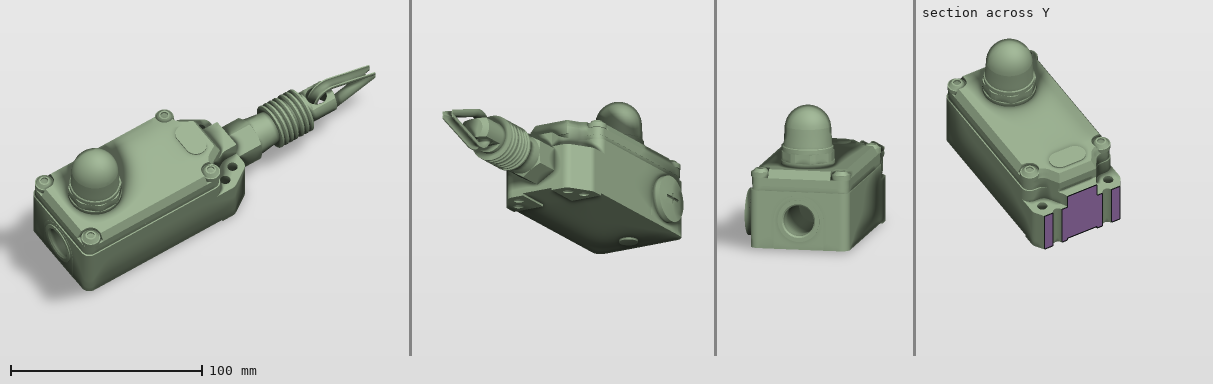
import cadquery as cq
import math


BASE_HALF_WIDTH = 26.5
BASE_LENGTH = 106.7
FOOT_HEIGHT = 1.2
EAR_TOP = 24.1
BASE_TOP = 31.9
FRONT_CORNER_RADIUS = 4.5
EAR_EDGE_HALF_WIDTH = 18.0
EAR_SHOULDER_Y = 93.7
EAR_CORNER_RADIUS = 5.0
EAR_HOLE_DIAMETER = 5.4
EAR_HOLES = [(15.0, 100.0), (20.0, 92.1)]

NECK_HALF_WIDTH = 9.0
NECK_CORNER_Y = 98.3
NECK_SLOPE = math.radians(59)
NECK_BLEND_RADIUS = 6.0
SHOULDER_BLEND_RADIUS = 5.0

LID_INSET = 0.5
LID_REAR_Y = 94.7
GASKET_TOP = 34.3
GASKET_INSET = 0.7
GASKET_SETBACK = 0.5
LID_EDGE = 38.5
LID_TOP = 42.9
LID_CHAMFER_WIDTH = 2.5
PLATE_LENGTH = 20.5
PLATE_WIDTH = 11.4
PLATE_Y = 84.0
PLATE_HEIGHT = 0.8

BOSS_X = 21.5
BOSS_RADIUS = BASE_HALF_WIDTH - BOSS_X
BOSS_YS = (5.8, 81.7)
BOSS_TOP = 41.0
SCREW_RADIUS = 4.4
SCREW_CROWN_RADIUS = 2.8
SCREW_SOCKET_RADIUS = 2.0
SCREW_SOCKET_DEPTH = 1.0

CENTRE_FOOT_RADIUS = 5.0
CENTRE_FOOT_Y = 12.8
REAR_FOOT_INNER_X = 8.8
REAR_FOOT_FRONT_Y = 86.0

ENTRY_Z = 16.5
PAD_HEIGHT = 0.1
FRONT_PAD_RADIUS = 13.4
LEFT_PAD_RADIUS = 13.0
LEFT_PAD_FOOT_HALF_WIDTH = 13.5
COLLAR_RADIUS = 11.2
COLLAR_HEIGHT = 0.5
ENTRY_MOUTH_RADIUS = 9.0
ENTRY_BORE_RADIUS = 8.2
ENTRY_BORE_DEPTH = 39.9

PLUG_Y = 20.5
PLUG_RADIUS = 12.4
PLUG_NECK_RADIUS = 12.2
PLUG_RIM_BACK_X = 28.1
PLUG_RIM_X = 30.7
PLUG_CROWN_X = 31.9
PLUG_SLOT_LENGTH = 12.8
PLUG_SLOT_WIDTH = 1.5
PLUG_CROSS_LENGTH = 5.8
PLUG_SLOT_FLOOR_X = 30.7

LAMP_Y = 23.1
LAMP_FLANGE_RADIUS = 14.2
LAMP_FLANGE_TOP = 45.0
LAMP_NUT_RADIUS = 13.4
LAMP_NUT_TOP = 52.6
LAMP_NUT_CHAMFER = 0.4
LAMP_FLAT_COUNT = 8
LAMP_FLAT_DISTANCE = 13.4
LAMP_FLAT_CORNER_RADIUS = 14.0
LAMP_FLAT_TOP = 49.8
DOME_BASE_RADIUS = 12.8
DOME_RADIUS = 12.2
DOME_SPRING_Z = 63.0
LAMP_TOP = 74.0

AXIS_Z = ENTRY_Z
HEX_ACROSS_FLATS = 21.0
HEX_END_Y = 122.0
HEX_CHAMFER_LENGTH = 0.8
CONE_BASE_RADIUS = 10.4
CONE_END_RADIUS = 9.0
CONE_END_Y = 133.0
ROD_RADIUS = 8.5
ROD_END_Y = 170.7
ROD_CROWN_RADIUS = 5.4
ROD_CROWN_Y = 172.2

RING_RADIUS = 12.2
RING_ROOT_RADIUS = 10.2
RING_CREST_WIDTH = 1.0
RING_ROOT_WIDTH = 2.5
RING_PITCH = 3.0
BELLOWS_START_Y = 134.0
BELLOWS_END_Y = 153.7
FRONT_RING_COUNT = 4
REAR_RING_COUNT = 3

EYE_HALF_THICKNESS = 5.2
EYE_FLAT_START_Y = 156.5
EYE_HOLE_Y = 163.3
EYE_HOLE_RADIUS = 5.5

THIMBLE_RADIUS = 10.4
THIMBLE_CENTRE_Y = 169.9
THIMBLE_TIP_Y = 198.8
THIMBLE_LEG_ANGLE = 17
THIMBLE_HALF_WIDTH = 3.2
THIMBLE_DEPTH = 3.8
THIMBLE_WALL = 0.7


def mirrored(points):
    """Close a half outline, given along the right side, with its mirror image in X."""
    return points + [(-x, y) for x, y in reversed(points)]


def prism(points, bottom, top):
    return cq.Workplane("XY").workplane(offset=bottom).polyline(points).close().extrude(top - bottom)


def round_corners(body, corner, radius):
    """Round the upright edge nearest to a corner of the outline, on both sides."""
    z = body.val().BoundingBox().center.z
    for side in (-1, 1):
        body = body.edges("|Z").edges(cq.NearestToPointSelector((side * corner[0], corner[1], z)))
        body = body.fillet(radius)
    return body


def cylinder(x, y, radius, bottom, top):
    return cq.Workplane("XY", origin=(x, y, bottom)).circle(radius).extrude(top - bottom)


def turned(profile):
    """Turn (radius, Y) points about the rod axis."""
    outline = cq.Workplane("XY", origin=(0, 0, AXIS_Z)).polyline(profile).close()
    return outline.revolve(360, (0, 0, 0), (0, 1, 0))


def ear_block(bottom, top):
    """Full base outline, with cut-off rear corners."""
    ear_corner = (EAR_EDGE_HALF_WIDTH, BASE_LENGTH)
    shoulder = (BASE_HALF_WIDTH, EAR_SHOULDER_Y)
    front_corner = (BASE_HALF_WIDTH, 0)
    block = prism(mirrored([front_corner, shoulder, ear_corner]), bottom, top)
    block = round_corners(block, front_corner, FRONT_CORNER_RADIUS)
    block = round_corners(block, shoulder, EAR_CORNER_RADIUS)
    return round_corners(block, ear_corner, EAR_CORNER_RADIUS)


def neck_block(inset, rear_y, bottom, top):
    """Outline that rounds the rear screw bosses and narrows into the neck."""
    half_width = BASE_HALF_WIDTH - inset
    corner_radius = BOSS_RADIUS - inset
    shoulder_y = BOSS_YS[1] + corner_radius

    def slope_x(y):
        return NECK_HALF_WIDTH + (NECK_CORNER_Y - y) / math.tan(NECK_SLOPE)

    front_corner = (half_width, inset)
    boss_corner = (half_width, shoulder_y)
    slope_foot = (slope_x(shoulder_y), shoulder_y)
    points = [front_corner, boss_corner, slope_foot]
    reaches_neck = rear_y > NECK_CORNER_Y
    neck_corner = (NECK_HALF_WIDTH, NECK_CORNER_Y)
    if reaches_neck:
        points += [neck_corner, (NECK_HALF_WIDTH, rear_y)]
    else:
        points += [(slope_x(rear_y), rear_y)]
    block = prism(mirrored(points), bottom, top)
    block = round_corners(block, front_corner, FRONT_CORNER_RADIUS)
    block = round_corners(block, boss_corner, corner_radius)
    block = round_corners(block, slope_foot, SHOULDER_BLEND_RADIUS)
    if reaches_neck:
        block = round_corners(block, neck_corner, NECK_BLEND_RADIUS)
    return block


def base():
    body = ear_block(FOOT_HEIGHT, EAR_TOP)
    return body.union(neck_block(0, BASE_LENGTH, EAR_TOP, BASE_TOP))


def feet():
    """Round foot at the front and two rear feet that follow the base outline."""
    foot_length = BASE_LENGTH - REAR_FOOT_FRONT_Y
    foot_width = BASE_HALF_WIDTH - REAR_FOOT_INNER_X
    centre_x = REAR_FOOT_INNER_X + foot_width / 2
    rear_feet = (
        cq.Workplane("XY", origin=(0, REAR_FOOT_FRONT_Y + foot_length / 2, 0))
        .pushPoints([(-centre_x, 0), (centre_x, 0)])
        .rect(foot_width, foot_length)
        .extrude(FOOT_HEIGHT)
        .intersect(ear_block(0, FOOT_HEIGHT))
    )
    return rear_feet.union(cylinder(0, CENTRE_FOOT_Y, CENTRE_FOOT_RADIUS, 0, FOOT_HEIGHT))


def ear_holes():
    places = [(side * x, y) for x, y in EAR_HOLES for side in (-1, 1)]
    return cq.Workplane("XY").pushPoints(places).circle(EAR_HOLE_DIAMETER / 2).extrude(BASE_TOP)


def lid():
    gasket = neck_block(GASKET_INSET, LID_REAR_Y - GASKET_SETBACK, BASE_TOP, GASKET_TOP)
    cover = neck_block(LID_INSET, LID_REAR_Y, GASKET_TOP, LID_TOP)
    cover = cover.faces(">Z").chamfer(LID_TOP - LID_EDGE, LID_CHAMFER_WIDTH)
    plate = cq.Workplane("XY", origin=(0, PLATE_Y, LID_TOP)).slot2D(PLATE_LENGTH, PLATE_WIDTH)
    return gasket.union(cover).union(plate.extrude(PLATE_HEIGHT))


def lid_screw(x, y):
    """Conical screw head with a round socket, standing on its boss."""
    head = (
        cq.Workplane("XY", origin=(x, y, BOSS_TOP))
        .circle(SCREW_RADIUS)
        .workplane(offset=LID_TOP - BOSS_TOP)
        .circle(SCREW_CROWN_RADIUS)
        .loft()
    )
    head = head.cut(cylinder(x, y, SCREW_SOCKET_RADIUS, LID_TOP - SCREW_SOCKET_DEPTH, LID_TOP))
    return cylinder(x, y, BOSS_RADIUS, LID_EDGE, BOSS_TOP).union(head)


def add_lid_screws(body):
    """Clear the lid around each screw, outward to the sides and front, then set the screw in."""
    height = LID_TOP - LID_EDGE
    reach = 2 * BOSS_RADIUS
    for y in BOSS_YS:
        for side in (-1, 1):
            x = side * BOSS_X
            corner = cq.Workplane("XY", origin=(x, y, LID_EDGE))
            pocket = corner.circle(BOSS_RADIUS).extrude(height)
            pocket = pocket.union(corner.center(side * reach / 2, 0).rect(reach, reach).extrude(height))
            if y == min(BOSS_YS):
                pocket = pocket.union(corner.center(0, -reach / 2).rect(reach, reach).extrude(height))
            body = body.cut(pocket).union(lid_screw(x, y))
    return body


def entry_pad(plane, thickness, radius, foot_half_width):
    """Arched pad around a cable entry at the workplane origin, running down to the base underside."""
    drop = ENTRY_Z - FOOT_HEIGHT
    return (
        plane.moveTo(-foot_half_width, -drop)
        .lineTo(-radius, 0)
        .threePointArc((0, radius), (radius, 0))
        .lineTo(foot_half_width, -drop)
        .close()
        .extrude(thickness)
    )


def add_front_entry(body):
    """Pad and raised collar on the front face, with a countersunk bore."""
    face = cq.Workplane("XZ", origin=(0, 0, ENTRY_Z))
    body = body.union(entry_pad(face, PAD_HEIGHT, FRONT_PAD_RADIUS, FRONT_PAD_RADIUS))
    body = body.union(face.circle(COLLAR_RADIUS).extrude(COLLAR_HEIGHT))
    mouth = cq.Workplane("XZ", origin=(0, -COLLAR_HEIGHT, ENTRY_Z))
    bore = mouth.circle(ENTRY_BORE_RADIUS).extrude(-ENTRY_BORE_DEPTH)
    countersink = (
        mouth.circle(ENTRY_MOUTH_RADIUS)
        .workplane(offset=ENTRY_BORE_RADIUS - ENTRY_MOUTH_RADIUS)
        .circle(ENTRY_BORE_RADIUS)
        .loft()
    )
    return body.cut(bore).cut(countersink)


def add_plug(body):
    """Pad on the left face, closed by a domed plug with a cross slot."""
    face = cq.Workplane("YZ", origin=(-BASE_HALF_WIDTH, PLUG_Y, ENTRY_Z))
    body = body.union(entry_pad(face, -PAD_HEIGHT, LEFT_PAD_RADIUS, LEFT_PAD_FOOT_HALF_WIDTH))
    sag = PLUG_CROWN_X - PLUG_RIM_X
    crown_radius = (PLUG_RADIUS**2 + sag**2) / (2 * sag)
    neck = face.circle(PLUG_NECK_RADIUS).extrude(BASE_HALF_WIDTH - PLUG_RIM_BACK_X)
    rim_back = cq.Workplane("YZ", origin=(-PLUG_RIM_BACK_X, PLUG_Y, ENTRY_Z))
    disc = rim_back.circle(PLUG_RADIUS).extrude(PLUG_RIM_BACK_X - PLUG_CROWN_X)
    ball = cq.Workplane("XY", origin=(crown_radius - PLUG_CROWN_X, PLUG_Y, ENTRY_Z)).sphere(crown_radius)
    plug = disc.intersect(ball).union(neck)
    slot_face = cq.Workplane("YZ", origin=(-PLUG_CROWN_X, PLUG_Y, ENTRY_Z))
    slot_depth = PLUG_CROWN_X - PLUG_SLOT_FLOOR_X
    plug = plug.cut(slot_face.rect(PLUG_SLOT_LENGTH, PLUG_SLOT_WIDTH).extrude(slot_depth))
    plug = plug.cut(slot_face.rect(PLUG_SLOT_WIDTH, PLUG_CROSS_LENGTH).extrude(slot_depth))
    return body.union(plug)


def lamp():
    flange = cylinder(0, LAMP_Y, LAMP_FLANGE_RADIUS, LID_TOP, LAMP_FLANGE_TOP)
    flats = (
        cq.Workplane("XY", origin=(0, LAMP_Y, LAMP_FLANGE_TOP))
        .polygon(LAMP_FLAT_COUNT, 2 * LAMP_FLAT_DISTANCE, circumscribed=True)
        .extrude(LAMP_FLAT_TOP - LAMP_FLANGE_TOP)
    )
    flats = flats.intersect(cylinder(0, LAMP_Y, LAMP_FLAT_CORNER_RADIUS, LAMP_FLANGE_TOP, LAMP_FLAT_TOP))
    collar = cylinder(0, LAMP_Y, LAMP_NUT_RADIUS, LAMP_FLAT_TOP, LAMP_NUT_TOP)
    collar = collar.faces(">Z").chamfer(LAMP_NUT_CHAMFER)

    rise = LAMP_TOP - DOME_SPRING_Z
    sphere_radius = (DOME_RADIUS**2 + rise**2) / (2 * rise)
    sphere_z = LAMP_TOP - sphere_radius
    half_angle = math.asin(DOME_RADIUS / sphere_radius) / 2
    arc_middle = (sphere_radius * math.sin(half_angle), sphere_z + sphere_radius * math.cos(half_angle))
    dome = (
        cq.Workplane("XZ", origin=(0, LAMP_Y, 0))
        .moveTo(0, LAMP_NUT_TOP)
        .lineTo(DOME_BASE_RADIUS, LAMP_NUT_TOP)
        .lineTo(DOME_RADIUS, DOME_SPRING_Z)
        .threePointArc(arc_middle, (0, LAMP_TOP))
        .close()
        .revolve(360, (0, 0, 0), (0, 1, 0))
    )
    return flange.union(flats).union(collar).union(dome)


def hexagon():
    """Hexagon with corners up and down and a chamfered rear end."""
    corner_radius = HEX_ACROSS_FLATS / math.sqrt(3)
    length = HEX_END_Y - BASE_LENGTH
    bar = (
        cq.Workplane("XZ", origin=(0, BASE_LENGTH, AXIS_Z))
        .transformed(rotate=(0, 0, 90))
        .polygon(6, 2 * corner_radius)
        .extrude(-length)
    )
    envelope = turned(
        [
            (0, BASE_LENGTH),
            (corner_radius, BASE_LENGTH),
            (corner_radius, HEX_END_Y - HEX_CHAMFER_LENGTH),
            (CONE_BASE_RADIUS, HEX_END_Y),
            (0, HEX_END_Y),
        ]
    )
    return bar.intersect(envelope)


def shank():
    return turned(
        [
            (0, HEX_END_Y),
            (CONE_BASE_RADIUS, HEX_END_Y),
            (CONE_END_RADIUS, CONE_END_Y),
            (CONE_END_RADIUS, BELLOWS_START_Y),
            (RING_ROOT_RADIUS, BELLOWS_START_Y),
            (RING_ROOT_RADIUS, BELLOWS_END_Y),
            (ROD_RADIUS, BELLOWS_END_Y),
            (ROD_RADIUS, ROD_END_Y),
            (ROD_CROWN_RADIUS, ROD_CROWN_Y),
            (0, ROD_CROWN_Y),
        ]
    )


def bellows_ring(crest_start, slopes_forward=True, slopes_back=True):
    """Ring with a flat crest; a side without a slope is a plain flat face."""
    flank = (RING_ROOT_WIDTH - RING_CREST_WIDTH) / 2
    crest_end = crest_start + RING_CREST_WIDTH
    root_start = crest_start - flank if slopes_forward else crest_start
    root_end = crest_end + flank if slopes_back else crest_end
    return turned(
        [
            (0, root_start),
            (RING_ROOT_RADIUS, root_start),
            (RING_RADIUS, crest_start),
            (RING_RADIUS, crest_end),
            (RING_ROOT_RADIUS, root_end),
            (0, root_end),
        ]
    )


def add_bellows(body):
    """Two groups of rings, parted by a wider gap and closed by flat end faces."""
    for i in range(FRONT_RING_COUNT):
        body = body.union(bellows_ring(BELLOWS_START_Y + i * RING_PITCH, slopes_forward=i > 0))
    last_crest = BELLOWS_END_Y - RING_CREST_WIDTH
    for i in range(REAR_RING_COUNT):
        body = body.union(bellows_ring(last_crest - i * RING_PITCH, slopes_back=i > 0))
    return body


def cut_eye(body):
    length = ROD_CROWN_Y - EYE_FLAT_START_Y
    for side in (-1, 1):
        waste = cq.Workplane("XY").box(2 * ROD_RADIUS, length, ROD_RADIUS, centered=(True, False, True))
        waste_z = AXIS_Z + side * (EYE_HALF_THICKNESS + ROD_RADIUS / 2)
        body = body.cut(waste.translate((0, EYE_FLAT_START_Y, waste_z)))
    return body.cut(cylinder(0, EYE_HOLE_Y, EYE_HOLE_RADIUS, AXIS_Z - ROD_RADIUS, AXIS_Z + ROD_RADIUS))


def pull_rod():
    return cut_eye(add_bellows(hexagon().union(shank())))


def make_switch():
    body = base().union(feet()).union(lid())
    body = body.cut(ear_holes())
    body = add_lid_screws(body)
    body = add_front_entry(body)
    body = add_plug(body)
    return body.union(lamp()).union(pull_rod())


def channel_section():
    """U section, open away from the loop centre, standing where a leg leaves the loop."""
    rim = THIMBLE_RADIUS
    spring = rim - THIMBLE_DEPTH + THIMBLE_HALF_WIDTH
    inner_half_width = THIMBLE_HALF_WIDTH - THIMBLE_WALL
    return (
        cq.Workplane("XZ")
        .moveTo(-THIMBLE_HALF_WIDTH, rim)
        .lineTo(-THIMBLE_HALF_WIDTH, spring)
        .threePointArc((0, spring - THIMBLE_HALF_WIDTH), (THIMBLE_HALF_WIDTH, spring))
        .lineTo(THIMBLE_HALF_WIDTH, rim)
        .lineTo(inner_half_width, rim)
        .lineTo(inner_half_width, spring)
        .threePointArc((0, spring - inner_half_width), (-inner_half_width, spring))
        .lineTo(-inner_half_width, rim)
        .close()
    )


def thimble_leg():
    """Upper leg, cut off at the tip and where it meets the lower leg."""
    reach = THIMBLE_TIP_Y - THIMBLE_CENTRE_Y
    leg = channel_section().extrude(-2 * reach).rotate((0, 0, 0), (1, 0, 0), -THIMBLE_LEG_ANGLE)
    keep = cq.Workplane("XY").box(2 * THIMBLE_RADIUS, reach, 2 * THIMBLE_RADIUS, (True, False, False))
    return leg.intersect(keep)


def make_thimble():
    """Open loop with two straight legs that meet at the tip."""
    bend = channel_section().revolve(180 + 2 * THIMBLE_LEG_ANGLE, (0, 0, 0), (1, 0, 0))
    bend = bend.rotate((0, 0, 0), (1, 0, 0), -THIMBLE_LEG_ANGLE)
    upper_leg = thimble_leg()
    lower_leg = upper_leg.mirror("XY")
    loop = bend.union(upper_leg).union(lower_leg)
    return loop.translate((0, THIMBLE_CENTRE_Y, AXIS_Z))


switch = make_switch()
thimble = make_thimble()

result = cq.Compound.makeCompound([switch.solids().val(), thimble.solids().val()])